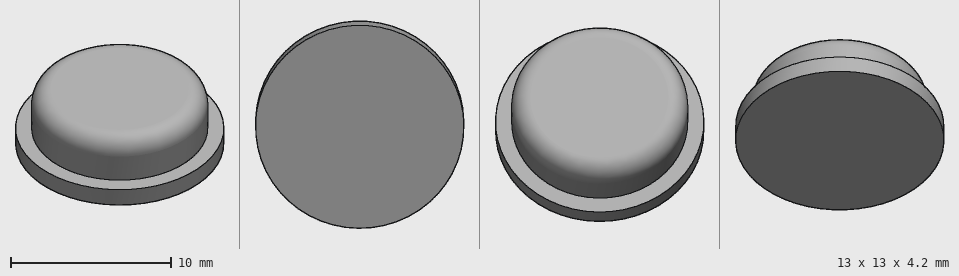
import cadquery as cq

flange_diameter = 13.0
flange_thickness = 1.2
button_diameter = 11.0
total_height = 4.2
top_edge_radius = 1.2

flange = cq.Workplane("XY").circle(flange_diameter / 2).extrude(flange_thickness)

button = (
    cq.Workplane("XY")
    .circle(button_diameter / 2)
    .extrude(total_height)
    .faces(">Z")
    .edges()
    .fillet(top_edge_radius)
)

result = flange.union(button)